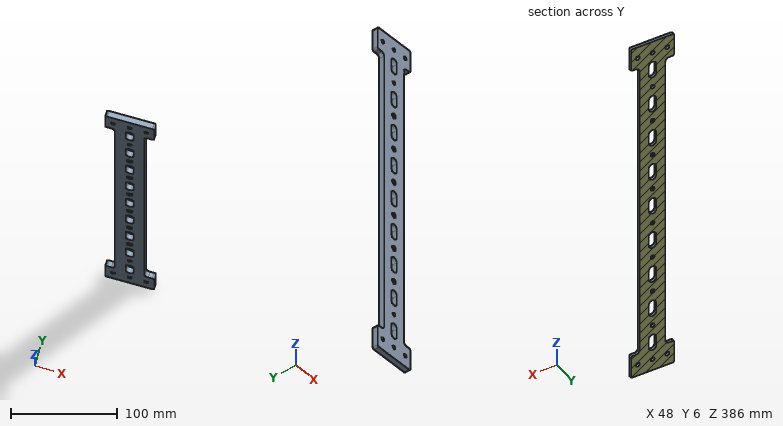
import cadquery as cq

length = 386.0
head_width = 48.0
thickness = 6.0

head_height = 26.0
web_width = 29.0
corner_radius = 2.0
neck_radius = 3.5

mount_hole_diameter = 4.0
mount_hole_spacing = 16.2
mount_hole_edge_distance = 13.0

slot_count = 9
slot_row_span = 320.0
slot_length = 17.8
slot_width = 7.7
slot_pitch = slot_row_span / (slot_count - 1)

web_hole_count = slot_count - 1
web_hole_diameter = 4.0
counterbore_diameter = 5.5
counterbore_depth = 1.5


def centreline_points(count):
    """Points at the slot pitch along the centreline, centred on the middle of the plate."""
    middle = (count - 1) / 2
    return [(0, (index - middle) * slot_pitch) for index in range(count)]


def plate_blank():
    """Web with a head at each end, rounded at the necks and at the head corners."""
    head_centre = (length - head_height) / 2
    web = cq.Workplane("XZ").rect(web_width, length).extrude(-thickness)
    heads = (
        cq.Workplane("XZ")
        .pushPoints([(0, -head_centre), (0, head_centre)])
        .rect(head_width, head_height)
        .extrude(-thickness)
    )
    blank = web.union(heads)
    blank = blank.edges("|Y and (not (<X or >X))").fillet(neck_radius)
    return blank.edges("|Y and (<X or >X)").fillet(corner_radius)


def front_face(body):
    """Sketch plane on the front face, centred on the plate."""
    return body.faces("<Y").workplane(origin=(0, 0, 0))


def drill_mount_holes(body):
    hole_height = length / 2 - mount_hole_edge_distance
    points = [
        (column * mount_hole_spacing, side * hole_height)
        for column in (-1, 0, 1)
        for side in (-1, 1)
    ]
    return front_face(body).pushPoints(points).hole(mount_hole_diameter)


def cut_slots(body):
    slots = front_face(body).pushPoints(centreline_points(slot_count))
    return slots.slot2D(slot_length, slot_width, angle=90).cutThruAll()


def drill_web_holes(body):
    bottom_hole, *inner_holes, top_hole = centreline_points(web_hole_count)
    body = front_face(body).pushPoints([bottom_hole, top_hole]).hole(web_hole_diameter)
    return (
        front_face(body)
        .pushPoints(inner_holes)
        .cboreHole(web_hole_diameter, counterbore_diameter, counterbore_depth)
    )


plate = plate_blank()
plate = drill_mount_holes(plate)
plate = cut_slots(plate)
result = drill_web_holes(plate)